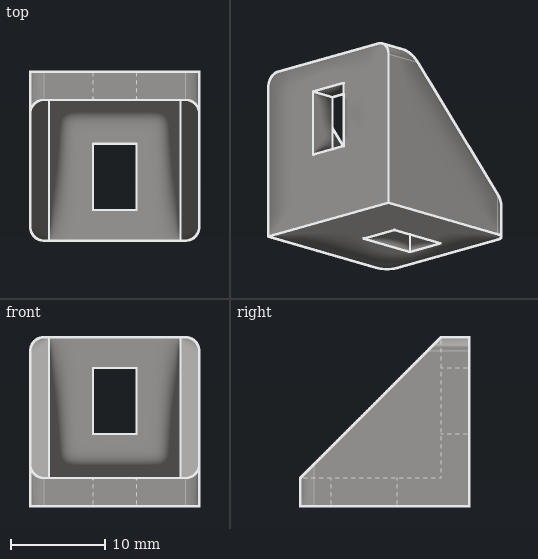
import cadquery as cq

size = 18.0
plate_thickness = 3.0
side_thickness = 2.0
corner_radius = 1.5
slot_width = 4.6
slot_length = 7.0
slot_center = 11.2

half_size = size / 2
inner_width = size - 2 * side_thickness
back_y = half_size
front_y = -half_size


def make_wedge():
    """Right-angled body with a 45 degree slope joining the plate edges."""
    profile = [
        (front_y, 0),
        (back_y, 0),
        (back_y, size),
        (back_y - plate_thickness, size),
        (front_y, plate_thickness),
    ]
    return cq.Workplane("YZ").polyline(profile).close().extrude(half_size, both=True)


def make_rounded_block(edge_selector):
    """Full-size block with the selected pair of edges rounded."""
    block = cq.Workplane("XY").box(size, size, size, centered=(True, True, False))
    return block.edges(edge_selector).fillet(corner_radius)


def make_pocket():
    """Open space between the side walls, in front of the back and above the base."""
    return (
        cq.Workplane("XY")
        .box(inner_width, size, size, centered=(True, True, False))
        .translate((0, -plate_thickness, plate_thickness))
    )


def make_base_slot():
    """Rectangular slot through the base plate."""
    return (
        cq.Workplane("XY")
        .center(0, back_y - slot_center)
        .rect(slot_width, slot_length)
        .extrude(plate_thickness)
    )


def make_back_slot():
    """Rectangular slot through the back plate."""
    return (
        cq.Workplane("XZ", origin=(0, back_y, 0))
        .center(0, slot_center)
        .rect(slot_width, slot_length)
        .extrude(plate_thickness)
    )


base_corners = "|Z and <Y"
back_corners = "|Y and >Z"

body = make_wedge()
for corners in (base_corners, back_corners):
    body = body.intersect(make_rounded_block(corners))

result = body.cut(make_pocket()).cut(make_base_slot()).cut(make_back_slot())